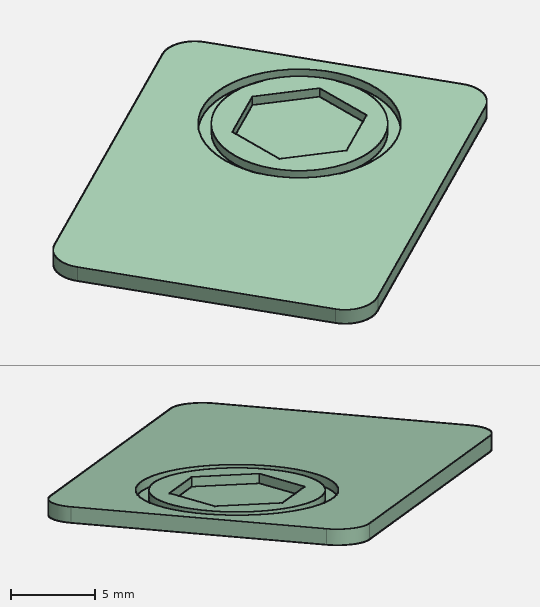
import cadquery as cq

plate_width = 20.0
plate_length = 26.0
plate_thickness = 1.0
corner_radius = 2.0

symbol_center_y = 6.0
ring_outer_diameter = 12.0
ring_width = 0.78
ring_inner_diameter = ring_outer_diameter - 2 * ring_width
hex_corner_diameter = 8.16
recess_depth = 0.6


def make_plate():
    """Flat plate standing on Z = 0 with rounded vertical corners."""
    return (
        cq.Workplane("XY")
        .rect(plate_width, plate_length)
        .extrude(plate_thickness)
        .edges("|Z")
        .fillet(corner_radius)
    )


def symbol_plane():
    """Workplane on the plate's top face, centred on the symbol."""
    return cq.Workplane("XY", origin=(0, symbol_center_y, plate_thickness))


def make_ring_groove():
    """Ring-shaped cutter reaching down from the top face."""
    return (
        symbol_plane()
        .circle(ring_outer_diameter / 2)
        .circle(ring_inner_diameter / 2)
        .extrude(-recess_depth)
    )


def make_hex_pocket():
    """Hexagonal cutter with two of its corners on the plate's long centreline."""
    return (
        symbol_plane()
        .transformed(rotate=(0, 0, 90))
        .polygon(6, hex_corner_diameter)
        .extrude(-recess_depth)
    )


result = make_plate().cut(make_ring_groove()).cut(make_hex_pocket())